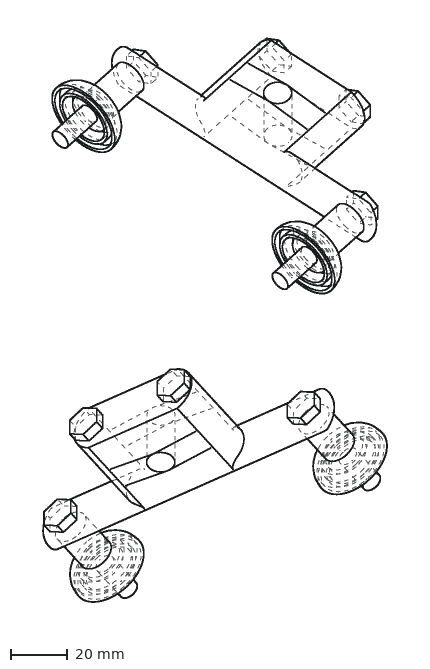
import cadquery as cq
import math

overall_length = 130.6

bar_half_height = 9.7
bar_thickness = 4.6
bar_half_length = 60.5
bar_end_bulge = 3.5
bar_corner_radius = 2.6
front_edge_radius = 2.1
edge_flat = 0.03
back_edge_radius = bar_thickness - front_edge_radius - edge_flat

block_front = front_edge_radius
block_back = 38.8
block_half_width = 24.7
block_flat_half_width = 18.5
block_mid_y = (block_front + block_back) / 2

pad_half_width = 17.8
pad_margin = 2.6
pad_half_depth = (block_back - block_front) / 2 - pad_margin
pad_top = 11.5
hole_radius = 5.0

head_across_corners = 13.0
head_height = 3.9
block_bolt_x = 18.3

cup_radius = 14.5
foot_x = overall_length / 2 - cup_radius
post_radius = 6.4
post_length = 16.7
cup_height = 8.7
cup_band = 0.8
shaft_radius = 3.7
shaft_length = 12.7
cup_face_y = -(post_length + cup_height)

outer_groove_radii = (11.0, 13.2)
outer_groove_depth = 2.6
inner_groove_radii = (7.7, 9.7)
inner_groove_depth = 5.5
centre_recess_depth = 3.1


def cylinder_y(x, radius, y_start, y_end):
    """Cylinder parallel to Y at the given x, on the z = 0 plane."""
    plane = cq.Plane(origin=(x, y_start, 0), xDir=(1, 0, 0), normal=(0, 1, 0))
    return cq.Workplane(plane).circle(radius).extrude(y_end - y_start)


def convex_ended_prism(flat_half_width, half_width, y_start, y_end):
    """Prism along Y with flat top and bottom and an arc at each end in X."""
    plane = cq.Plane(origin=(0, y_start, 0), xDir=(1, 0, 0), normal=(0, -1, 0))
    return (
        cq.Workplane(plane)
        .moveTo(-flat_half_width, bar_half_height)
        .lineTo(flat_half_width, bar_half_height)
        .threePointArc((half_width, 0), (flat_half_width, -bar_half_height))
        .lineTo(-flat_half_width, -bar_half_height)
        .threePointArc((-half_width, 0), (-flat_half_width, bar_half_height))
        .close()
        .extrude(y_start - y_end)
    )


def make_bar():
    flat_half_length = bar_half_length - bar_end_bulge
    bar = convex_ended_prism(flat_half_length, bar_half_length, 0, bar_thickness)
    bar = bar.edges("|Y").fillet(bar_corner_radius)
    bar = bar.faces("<Y").edges().fillet(front_edge_radius)
    return bar.faces(">Y").edges().fillet(back_edge_radius)


def make_pad():
    """Raised pad on the block top, rising from a rectangle to the round hole."""
    base = bar_half_height

    def point(x, y, z):
        return cq.Vector(x, block_mid_y + y, z)

    def flat_face(*points):
        return cq.Face.makeFromWires(cq.Wire.makePolygon(list(points), close=True))

    corners = [
        point(sx * pad_half_width, sy * pad_half_depth, base)
        for sx, sy in ((-1, -1), (1, -1), (1, 1), (-1, 1))
    ]
    rim = cq.Edge.makeCircle(hole_radius, point(0, 0, pad_top))
    faces = [flat_face(*corners), cq.Face.makeFromWires(cq.Wire.assembleEdges([rim]))]

    diagonal = hole_radius * math.cos(math.pi / 4)
    for sy in (-1, 1):
        rim_end = point(0, sy * hole_radius, pad_top)
        left, right = (point(sx * pad_half_width, sy * pad_half_depth, base) for sx in (-1, 1))
        faces.append(flat_face(left, right, rim_end))
        for sx in (-1, 1):
            corner = point(sx * pad_half_width, sy * pad_half_depth, base)
            side_end = point(sx * pad_half_width, sy * hole_radius, base)
            side_mid = point(sx * pad_half_width, 0, base)
            rim_side = point(sx * hole_radius, 0, pad_top)
            rim_between = point(sx * diagonal, sy * diagonal, pad_top)
            faces.append(flat_face(corner, side_end, rim_end))
            faces.append(
                cq.Face.makeRuledSurface(
                    cq.Edge.makeLine(side_mid, side_end),
                    cq.Edge.makeThreePointArc(rim_side, rim_between, rim_end),
                )
            )
    return cq.Workplane(cq.Solid.makeSolid(cq.Shell.makeShell(faces)))


def make_block():
    block = convex_ended_prism(block_flat_half_width, block_half_width, block_front, block_back)
    pad = make_pad()
    block = block.union(pad).union(pad.mirror("XY"))
    hole = (
        cq.Workplane("XY")
        .center(0, block_mid_y)
        .circle(hole_radius)
        .extrude(pad_top, both=True)
    )
    return block.cut(hole)


def make_bolt_head(x, y_start):
    """Hexagonal head pointing towards +Y, with two corners on the Z direction."""
    plane = cq.Plane(origin=(x, y_start, 0), xDir=(0, 0, 1), normal=(0, 1, 0))
    return cq.Workplane(plane).polygon(6, head_across_corners).extrude(head_height)


def make_foot(x):
    dome_rise = cup_height - cup_band
    cup_top_radius = cup_radius - dome_rise
    dome_diagonal = dome_rise * math.cos(math.pi / 4)
    band_y = cup_face_y + cup_band

    def ring(radii, depth):
        outer = cylinder_y(0, radii[1], cup_face_y, cup_face_y + depth)
        return outer.cut(cylinder_y(0, radii[0], cup_face_y, cup_face_y + depth))

    cup = (
        cq.Workplane("XY")
        .moveTo(0, cup_face_y)
        .lineTo(cup_radius, cup_face_y)
        .lineTo(cup_radius, band_y)
        .threePointArc(
            (cup_top_radius + dome_diagonal, band_y + dome_diagonal),
            (cup_top_radius, -post_length),
        )
        .lineTo(0, -post_length)
        .close()
        .revolve(360, (0, 0, 0), (0, 1, 0))
    )
    cup = cup.cut(ring(outer_groove_radii, outer_groove_depth))
    cup = cup.cut(ring(inner_groove_radii, inner_groove_depth))
    recess_floor = cup_face_y + centre_recess_depth
    cup = cup.cut(cylinder_y(0, inner_groove_radii[0], cup_face_y, recess_floor))

    post = cylinder_y(0, post_radius, -post_length, front_edge_radius)
    shaft = cylinder_y(0, shaft_radius, cup_face_y - shaft_length, -post_length)
    return cup.union(post).union(shaft).translate((x, 0, 0))


assembly = make_bar().union(make_block())
for side in (-1, 1):
    assembly = assembly.union(make_foot(side * foot_x))
    assembly = assembly.union(make_bolt_head(side * foot_x, bar_thickness))
    assembly = assembly.union(make_bolt_head(side * block_bolt_x, block_back))

result = cq.Workplane(assembly.val())